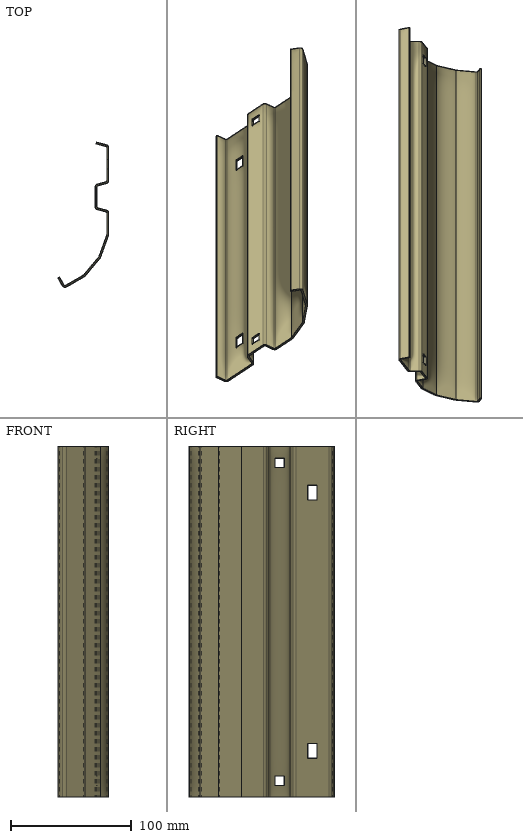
import cadquery as cq
import math

LENGTH = 290.0
THICKNESS = 1.5
INNER_BEND_RADIUS = 1.0
OUTER_BEND_RADIUS = INNER_BEND_RADIUS + THICKNESS
OVERALL_WIDTH = 120.12

FACET_LENGTH = 20.0
FACET_ANGLES = (20.0, 40.0, 60.0)
END_LIP_LENGTH = 10.0
END_LIP_ANGLE = FACET_ANGLES[-1] + 90.0

FLANK_ANGLE = 15.0
TOP_LIP_LENGTH = 10.3
TOP_EDGE_Y = 45.25
RIB_FLANK_LENGTH = 10.0
RIB_DEPTH = RIB_FLANK_LENGTH * math.cos(math.radians(FLANK_ANGLE))
RIB_FLAT_WIDTH = 16.3

HOLE_WIDTH = 7.5
SQUARE_HOLE_HEIGHT = HOLE_WIDTH
SQUARE_HOLE_END_DISTANCE = 13.5
SLOT_HEIGHT = 12.0
SLOT_END_DISTANCE = 38.25
SLOT_Y = 27.0


def step(point, length, angle):
    """Move from a point; the angle is measured from -Y towards -X, in degrees."""
    turn = math.radians(angle)
    return (point[0] - length * math.sin(turn), point[1] - length * math.cos(turn))


def profile_corners():
    """Sharp corners of the outer (wall side) face, from the upper lip to the end lip."""
    flank = math.radians(FLANK_ANGLE)
    flank_bend = math.radians(90.0 - FLANK_ANGLE)
    wall_top = (0.0, TOP_EDGE_Y - TOP_LIP_LENGTH * math.sin(flank))
    lip_tip = (-TOP_LIP_LENGTH * math.cos(flank), TOP_EDGE_Y)

    crest_half = RIB_FLAT_WIDTH / 2 + OUTER_BEND_RADIUS * math.tan(flank_bend / 2)
    floor_half = crest_half - THICKNESS * math.tan(flank_bend / 2)
    mouth_half = floor_half + RIB_FLANK_LENGTH * math.sin(flank)

    last_facet = math.radians(FACET_ANGLES[-1])
    bend_loss = OUTER_BEND_RADIUS * (math.sin(last_facet) + math.cos(last_facet) - 1.0)
    sweep_height = sum(FACET_LENGTH * math.cos(math.radians(angle)) for angle in FACET_ANGLES)
    wall_bottom = (0.0, TOP_EDGE_Y - OVERALL_WIDTH - bend_loss + sweep_height)

    corners = [
        lip_tip,
        wall_top,
        (0.0, mouth_half),
        (-RIB_DEPTH, floor_half),
        (-RIB_DEPTH, -floor_half),
        (0.0, -mouth_half),
        wall_bottom,
    ]
    for angle in FACET_ANGLES:
        corners.append(step(corners[-1], FACET_LENGTH, angle))
    corners.append(step(corners[-1], END_LIP_LENGTH, END_LIP_ANGLE))
    return corners


def direction(start, end):
    length = math.dist(start, end)
    return ((end[0] - start[0]) / length, (end[1] - start[1]) / length)


def offset_corners(corners):
    """Corners of the opposite face of the sheet, one thickness to the right of the path."""
    dirs = [direction(a, b) for a, b in zip(corners, corners[1:])]
    before = [dirs[0]] + dirs
    after = dirs + [dirs[-1]]
    shifted = []
    for (x, y), (ux, uy), (vx, vy) in zip(corners, before, after):
        scale = THICKNESS / (1.0 + ux * vx + uy * vy)
        shifted.append((x + scale * (uy + vy), y - scale * (ux + vx)))
    return shifted


def vertical_edges_at(body, points):
    """Select the edges along Z that pass through the given profile points."""
    reach = 0.01
    middle_z = LENGTH / 2
    edges = []
    for x, y in points:
        box = cq.selectors.BoxSelector(
            (x - reach, y - reach, middle_z - reach),
            (x + reach, y + reach, middle_z + reach),
        )
        edges.extend(body.edges("|Z").edges(box).vals())
    return edges


def bent_sheet():
    outer = profile_corners()
    inner = offset_corners(outer)
    body = cq.Workplane("XY").polyline(outer + inner[::-1]).close().extrude(LENGTH)

    last = len(outer) - 2
    wall_side_convex = (1, 2, 5, last)
    rib_floor = (3, 4)
    large = [outer[i] for i in wall_side_convex] + [inner[i] for i in rib_floor]
    small = [inner[i] for i in wall_side_convex] + [outer[i] for i in rib_floor]
    body = body.newObject(vertical_edges_at(body, large)).fillet(OUTER_BEND_RADIUS)
    return body.newObject(vertical_edges_at(body, small)).fillet(INNER_BEND_RADIUS)


def hole_pair(y, height, end_distance):
    """Two rectangular punches through the sheet along X, one near each end."""
    punch_depth = 2 * (RIB_DEPTH + 2 * THICKNESS)
    centres_z = (end_distance, LENGTH - end_distance)
    centres = [(0.0, y, z) for z in centres_z]
    return cq.Workplane("XY").pushPoints(centres).box(punch_depth, HOLE_WIDTH, height)


result = bent_sheet()
result = result.cut(hole_pair(0.0, SQUARE_HOLE_HEIGHT, SQUARE_HOLE_END_DISTANCE))
result = result.cut(hole_pair(SLOT_Y, SLOT_HEIGHT, SLOT_END_DISTANCE))